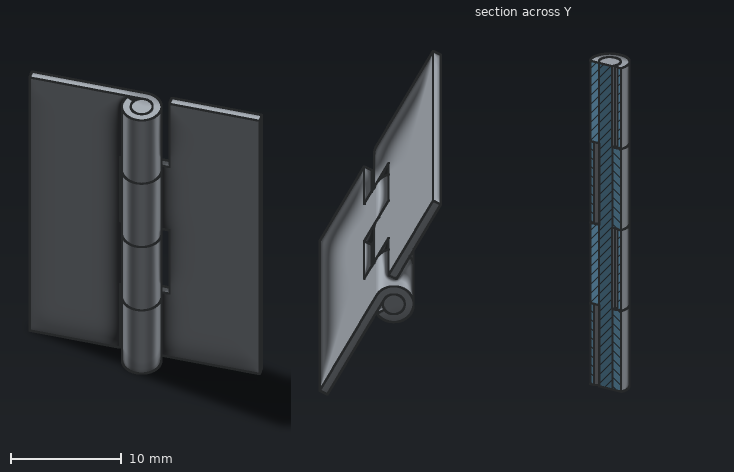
import cadquery as cq
import math

height = 32.0
width = 21.5
sheet_thickness = 0.8
pin_radius = 1.0
knuckle_count = 4
notch_clearance = 0.5
curl_end_angle = 150.0

half_width = width / 2
knuckle_radius = pin_radius + sheet_thickness
knuckle_length = height / knuckle_count
notch_depth = knuckle_radius + notch_clearance
curl_start_angle = 90.0
curl_sweep = 360.0 - (curl_end_angle - curl_start_angle)
curl_middle_angle = curl_start_angle - curl_sweep / 2


def polar(radius, degrees):
    """Point at a radius and angle around the pin axis."""
    angle = math.radians(degrees)
    return (radius * math.cos(angle), radius * math.sin(angle))


def rolled_sheet():
    """Full-height sheet on the -X side, its edge rolled around the pin."""
    return (
        cq.Workplane("XY")
        .moveTo(-half_width, knuckle_radius)
        .lineTo(0, knuckle_radius)
        .threePointArc(polar(knuckle_radius, curl_middle_angle), polar(knuckle_radius, curl_end_angle))
        .lineTo(*polar(pin_radius, curl_end_angle))
        .threePointArc(polar(pin_radius, curl_middle_angle), (0, pin_radius))
        .lineTo(-half_width, pin_radius)
        .close()
        .extrude(height)
    )


def notch(index):
    """Cutter that clears room for the other leaf's knuckle at this position."""
    return (
        cq.Workplane("XY", origin=(0, 0, index * knuckle_length))
        .rect(2 * notch_depth, 2 * notch_depth)
        .extrude(knuckle_length)
    )


def make_leaf(first_notch):
    """Leaf on the -X side, notched at every second knuckle position."""
    leaf = rolled_sheet()
    for index in range(first_notch, knuckle_count, 2):
        leaf = leaf.cut(notch(index))
    return leaf


def make_pin():
    """Plain pin, flush with both ends of the leaves."""
    return cq.Workplane("XY").circle(pin_radius).extrude(height)


left_leaf = make_leaf(first_notch=0)
right_leaf = make_leaf(first_notch=1).mirror("YZ")
pin = make_pin()

result = cq.Compound.makeCompound([left_leaf.val(), right_leaf.val(), pin.val()])